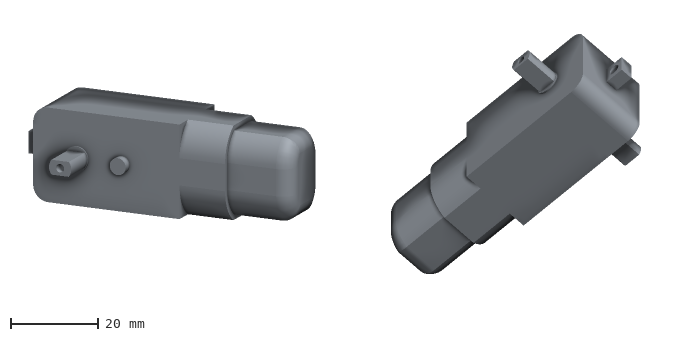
import cadquery as cq

total_length = 69.5

housing_start = 4.85
housing_depth = 18.7
housing_height = 22.5
housing_corner_radius = 3.75

neck_start = 41.9
neck_end = 53.45
motor_depth = 16.2
motor_height = 19.95
motor_end_radius = 3.75
side_flat_height = 6.45

tab_depth = 3.2
tab_height = 5.3
tab_hole_diameter = 2.7

axle_x = 15.9
axle_length = 36.6
axle_diameter = 5.6
axle_thickness = 3.55
axle_bore_diameter = 2.0
collar_diameter = 6.0
collar_height = 0.4

pin_x = 27.25
pin_diameter = 4.0
pin_height = 2.1


def block(x_start, x_end, depth, height):
    """Box between two X positions, centred on Y and Z."""
    box = cq.Workplane("XY").box(x_end - x_start, depth, height)
    return box.translate(((x_start + x_end) / 2, 0, 0))


def rounded_bar(x_start, x_end, depth, height):
    """Bar with an upright slot profile, cut flat at the top and bottom."""
    slot = (
        cq.Workplane("YZ", origin=(x_start, 0, 0))
        .slot2D(side_flat_height + depth, depth, 90)
        .extrude(x_end - x_start)
    )
    return slot.intersect(block(x_start, x_end, depth, height))


def cylinder_along_y(x, diameter, y_start, y_end):
    """Cylinder parallel to Y at height Z = 0."""
    return (
        cq.Workplane("XZ", origin=(x, y_start, 0))
        .circle(diameter / 2)
        .extrude(y_start - y_end)
    )


def make_housing():
    housing = block(housing_start, neck_start, housing_depth, housing_height)
    housing = housing.edges("|Y and <X").fillet(housing_corner_radius)
    return housing.union(rounded_bar(neck_start, neck_end, housing_depth, housing_height))


def make_motor():
    motor = rounded_bar(neck_end, total_length, motor_depth, motor_height)
    return motor.faces(">X").edges().fillet(motor_end_radius)


def make_tab():
    tab = block(0, housing_start, tab_depth, tab_height)
    hole = cylinder_along_y(housing_start / 2, tab_hole_diameter, -tab_depth / 2, tab_depth / 2)
    return tab.cut(hole)


def make_axle():
    half_length = axle_length / 2
    axle = cylinder_along_y(axle_x, axle_diameter, -half_length, half_length)
    radius = axle_diameter / 2
    flats = block(axle_x - radius, axle_x + radius, axle_length, axle_thickness)
    collar_reach = housing_depth / 2 + collar_height
    collars = cylinder_along_y(axle_x, collar_diameter, -collar_reach, collar_reach)
    return axle.intersect(flats).union(collars)


def make_pin():
    return cylinder_along_y(pin_x, pin_diameter, -housing_depth / 2 - pin_height, 0)


axle_bore = cylinder_along_y(axle_x, axle_bore_diameter, -axle_length / 2, axle_length / 2)

result = (
    make_housing()
    .union(make_motor())
    .union(make_tab())
    .union(make_axle())
    .union(make_pin())
    .cut(axle_bore)
)